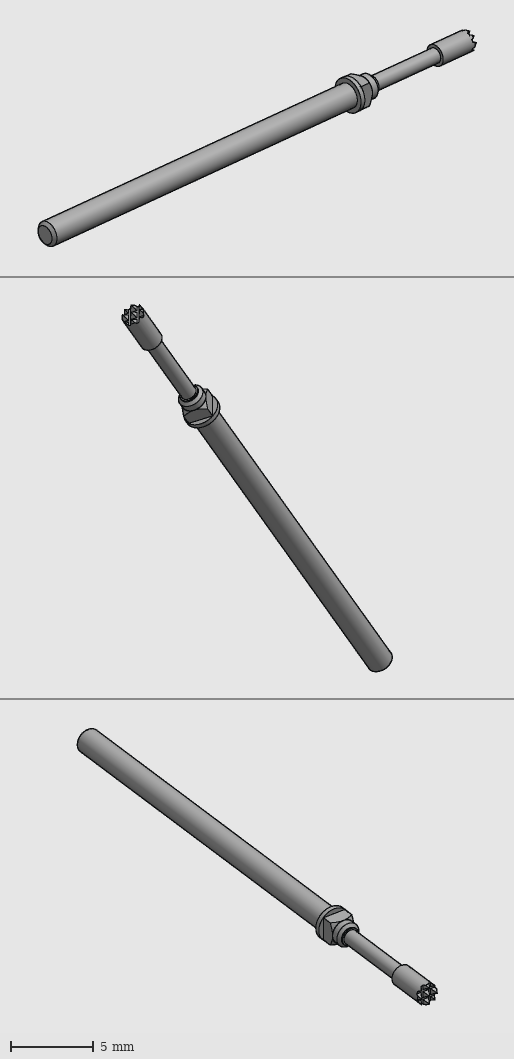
import cadquery as cq
import math

total_length = 35.8

barrel_dia = 1.65
tail_chamfer = 0.2

flange_dia = 2.3
flange_y = 25.53
flange_thickness = 0.32
flange_top_y = flange_y + flange_thickness
square_side = 1.6
square_height = 0.95
square_top_y = flange_top_y + square_height
bevel_drop = 0.25

neck_height = 0.45
neck_top_y = square_top_y + neck_height
cone_height = 0.18
cone_top_y = neck_top_y + cone_height
lip_height = 0.1
lip_top_y = cone_top_y + lip_height
lip_dia = 1.2

plunger_dia = 1.0
head_dia = 1.43
head_length = 2.95
head_y = total_length - head_length
tooth_pitch = 0.57
tooth_depth = 0.4
groove_floor = 0.15
groove_steps = (-1.5, -0.5, 0.5, 1.5)


def cylinder(diameter, start_y, end_y):
    """Round bar on the Y axis between two heights."""
    length = end_y - start_y
    return cq.Workplane("XZ", origin=(0, start_y, 0)).circle(diameter / 2).extrude(-length)


def barrel():
    return cylinder(barrel_dia, 0, flange_y).faces("<Y").chamfer(tail_chamfer)


def square_shoulder():
    """Square block with sharp corners, bevelled on top by a shallow cone."""
    block = cq.Workplane("XZ", origin=(0, flange_top_y, 0)).rect(square_side, square_side)
    block = block.extrude(-square_height)
    corner_radius = square_side / math.sqrt(2)
    envelope = (
        cq.Workplane("XY")
        .moveTo(0, flange_top_y)
        .lineTo(corner_radius, flange_top_y)
        .lineTo(corner_radius, square_top_y - bevel_drop)
        .lineTo(square_side / 2, square_top_y)
        .lineTo(0, square_top_y)
        .close()
        .revolve(360, (0, 0, 0), (0, 1, 0))
    )
    return block.intersect(envelope)


def neck():
    return (
        cq.Workplane("XY")
        .moveTo(0, square_top_y)
        .lineTo(barrel_dia / 2, square_top_y)
        .lineTo(barrel_dia / 2, neck_top_y)
        .lineTo(lip_dia / 2, cone_top_y)
        .lineTo(lip_dia / 2, lip_top_y)
        .lineTo(0, lip_top_y)
        .close()
        .revolve(360, (0, 0, 0), (0, 1, 0))
    )


def serrated_head():
    """Cylinder cut by tapered grooves crossing along X and Z, leaving a grid of pyramid teeth."""
    head = cylinder(head_dia, head_y, total_length)
    floor_y = total_length - tooth_depth
    for step in groove_steps:
        centre = step * tooth_pitch
        groove = (
            cq.Workplane("XY")
            .moveTo(centre - tooth_pitch / 2, total_length)
            .lineTo(centre - groove_floor / 2, floor_y)
            .lineTo(centre + groove_floor / 2, floor_y)
            .lineTo(centre + tooth_pitch / 2, total_length)
            .close()
            .extrude(head_dia, both=True)
        )
        head = head.cut(groove)
        head = head.cut(groove.rotate((0, 0, 0), (0, 1, 0), 90))
    return head


result = (
    barrel()
    .union(cylinder(flange_dia, flange_y, flange_top_y))
    .union(square_shoulder())
    .union(neck())
    .union(cylinder(plunger_dia, lip_top_y, head_y))
    .union(serrated_head())
)